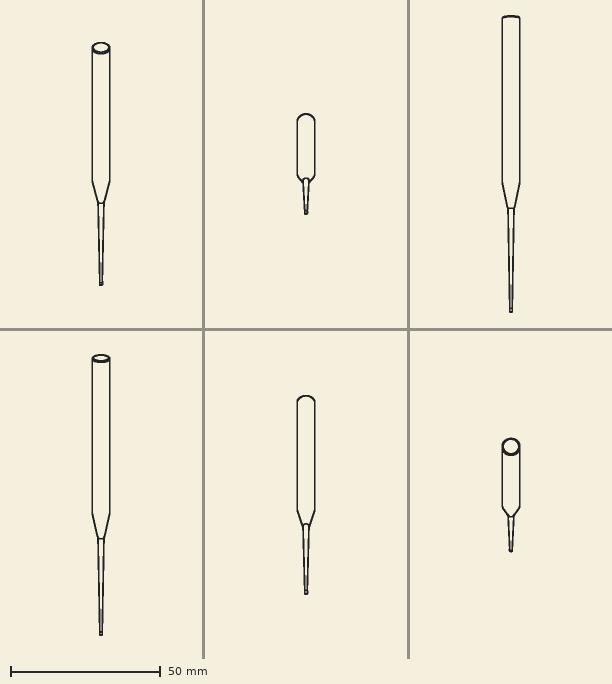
import cadquery as cq
import math

overall_length = 100.0
shank_bottom = 44.1
cone_bottom = 35.8
neck_top = 35.1
neck_bottom = 2.1
head_length = 1.2

shank_radius = 3.0
cone_end_radius = 1.3
neck_bottom_radius = 0.46
neck_half_angle = 1.0
head_radius = 0.5
tip_corner_radius = 0.3
shank_chamfer = 0.4

neck_top_radius = neck_bottom_radius + (neck_top - neck_bottom) * math.tan(math.radians(neck_half_angle))


def make_holder():
    """Shank, cone and slender tapered neck, revolved about Z."""
    return (
        cq.Workplane("XZ")
        .moveTo(0, head_length)
        .lineTo(neck_bottom_radius, head_length)
        .lineTo(neck_bottom_radius, neck_bottom)
        .lineTo(neck_top_radius, neck_top)
        .lineTo(cone_end_radius, cone_bottom)
        .lineTo(shank_radius, shank_bottom)
        .lineTo(shank_radius, overall_length - shank_chamfer)
        .lineTo(shank_radius - shank_chamfer, overall_length)
        .lineTo(0, overall_length)
        .close()
        .revolve(360, (0, 0, 0), (0, 1, 0))
    )


def make_cutting_head():
    """Short cylindrical head with a rounded corner at the tip."""
    return (
        cq.Workplane("XY")
        .circle(head_radius)
        .extrude(head_length)
        .faces("<Z")
        .edges()
        .fillet(tip_corner_radius)
    )


holder = make_holder()
cutting_head = make_cutting_head()

result = cq.Compound.makeCompound([holder.val(), cutting_head.val()])